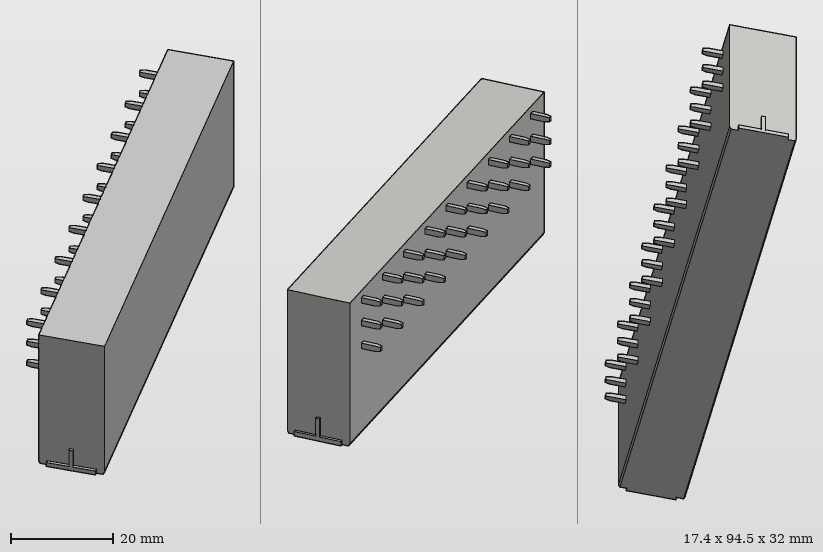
import cadquery as cq

BODY_WIDTH = 13.4
BODY_LENGTH = 93.28
BODY_HEIGHT = 32.0
BEVEL_HEIGHT = 0.6
BEVEL_INSET = 0.3

OVERALL_LENGTH = 94.48
RIB_THICKNESS = (OVERALL_LENGTH - BODY_LENGTH) / 2
FOOT_WIDTH = 10.0
FOOT_HEIGHT = 1.0
STEM_WIDTH = 0.8
STEM_HEIGHT = 5.0

PIN_COLUMNS = 9
PIN_ROWS = 3
COLUMN_PITCH = 10.16
ROW_PITCH = 5.08
TOP_ROW_DROP = 2.15
PIN_WIDTH = 1.0
PIN_HEIGHT = 1.2
PIN_LENGTH = 4.0
TIP_LENGTH = 1.0
TIP_TAPER = 0.15


def make_body():
    """Plain block with its two long bottom edges steeply bevelled."""
    block = cq.Workplane("XY").box(
        BODY_WIDTH, BODY_LENGTH, BODY_HEIGHT, centered=(True, True, False)
    )
    return block.faces("<Z").edges("|Y").chamfer(BEVEL_HEIGHT, BEVEL_INSET)


def make_end_rib(side):
    """Inverted-T rib on the end face at side = -1 (-Y) or +1 (+Y)."""
    centre_y = side * (BODY_LENGTH + RIB_THICKNESS) / 2
    base = cq.Workplane("XY").center(0, centre_y)
    foot = base.rect(FOOT_WIDTH, RIB_THICKNESS).extrude(FOOT_HEIGHT)
    stem = base.rect(STEM_WIDTH, RIB_THICKNESS).extrude(STEM_HEIGHT)
    return foot.union(stem)


def make_pin():
    """Rectangular pin with a tapered tip, pointing along -X from the origin."""
    shank_length = PIN_LENGTH - TIP_LENGTH
    tip_width = PIN_WIDTH - 2 * TIP_TAPER
    tip_height = PIN_HEIGHT - 2 * TIP_TAPER
    shank = cq.Workplane("YZ").rect(PIN_WIDTH, PIN_HEIGHT).extrude(-shank_length)
    tip = (
        cq.Workplane("YZ", origin=(-shank_length, 0, 0))
        .rect(PIN_WIDTH, PIN_HEIGHT)
        .workplane(offset=-TIP_LENGTH)
        .rect(tip_width, tip_height)
        .loft(ruled=True)
    )
    return shank.union(tip)


def add_pins(part):
    """Grid of pins, centred along Y, with rows counted down from the top."""
    pin = make_pin()
    first_y = -COLUMN_PITCH * (PIN_COLUMNS - 1) / 2
    for row in range(PIN_ROWS):
        z = BODY_HEIGHT - TOP_ROW_DROP - row * ROW_PITCH
        for column in range(PIN_COLUMNS):
            y = first_y + column * COLUMN_PITCH
            part = part.union(pin.translate((-BODY_WIDTH / 2, y, z)))
    return part


result = make_body()
for end_side in (-1, 1):
    result = result.union(make_end_rib(end_side))
result = add_pins(result)